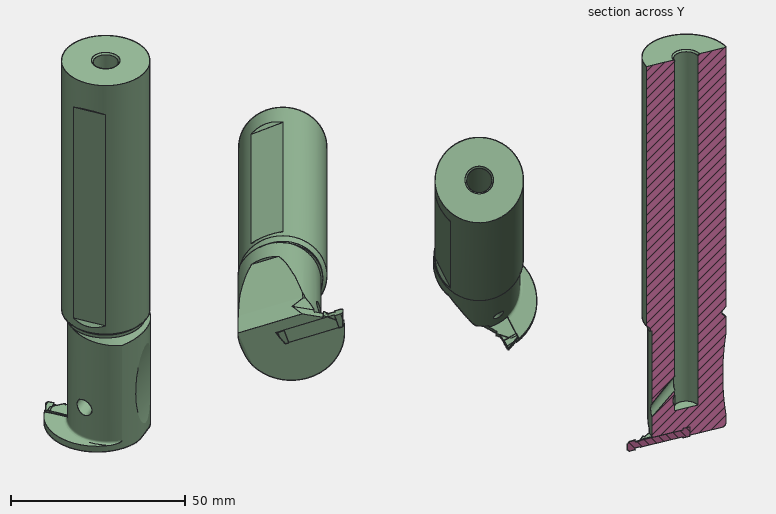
import cadquery as cq
import math


TOTAL_HEIGHT = 127.09
SHANK_RADIUS = 12.7
SHANK_BOTTOM = 40.5
FLAT_WIDTH = 10.0
FLAT_TOP = TOTAL_HEIGHT - 10.2
FLAT_BOTTOM = TOTAL_HEIGHT - 83.7
FLAT_DISTANCE = math.sqrt(SHANK_RADIUS**2 - (FLAT_WIDTH / 2) ** 2)
FLAT_RAMP = SHANK_RADIUS - FLAT_DISTANCE

NECK_RADIUS = 11.5
NECK_BOTTOM = 38.3
NECK_TAPER = SHANK_RADIUS - NECK_RADIUS

HEAD_BOTTOM = 0.45
INNER_CENTER_X = 1.5
INNER_RADIUS = 12.4
OUTER_RADIUS = 15.34
OUTER_CENTER_X = -2.65
OUTER_CORNER_ROUND = 1.2

BLADE_TOP = 2.5
BLADE_FILLET = 0.8
BLOCK_TOP = 3.2
BLOCK_FRONT_Y = -3.9
BLOCK_BACK_Y = 6.0
BLOCK_CORNER_X = -16.5
BLOCK_CORNER_Y = -2.0
SEAT_ANGLE = 45.0

GULLET_X = -13.2
GULLET_Y = 1.3
GULLET_ANGLE = 33.0
GULLET_DEPTH = 0.6
GULLET_UPRIGHT_TOP = 4.4
GULLET_RAMP_TOP = 6.4
GULLET_RAMP_OUT = 1.7
GULLET_TOP = 14.0
GULLET_TOP_OUT = 3.3

INSERT_TILT = 4.4
CHIP_START_Y = 11.6
CHIP_START_Z = 28.5
CHIP_KNEE_Y = 6.9
CHIP_KNEE_Z = 6.7
CHIP_END_Y = 4.7

RELIEF_DEPTH = 1.0
RELIEF_HALF_CHORD = 13.5
RELIEF_CENTER_Z = 18.0

BORE_RADIUS = 3.6
BORE_BOTTOM = 10.0
BORE_CHAMFER = 0.5
FRONT_OUTLET_RADIUS = 2.6
FRONT_OUTLET_X = -1.6
FRONT_OUTLET_Z = 13.3
SIDE_OUTLET_RADIUS = 1.65
SIDE_OUTLET_X = INNER_CENTER_X - INNER_RADIUS
SIDE_OUTLET_Y = -0.8
SIDE_OUTLET_Z = 11.8

TIP_X = SHANK_RADIUS - 31.45
INSERT_LENGTH = 20.4
INSERT_HEAD_LENGTH = 2.6
INSERT_HEAD_HEIGHT = 3.3
INSERT_HEAD_CHAMFER = 0.7
INSERT_DEPTH = 4.2
INSERT_TIP_RELIEF = 1.6
INSERT_BAR_HEIGHT = 2.1
INSERT_SIDE_RELIEF = 3.0

CUT_MARGIN = 20.0


def cylinder(radius, bottom, top, center_x=0.0):
    return cq.Workplane("XY", origin=(center_x, 0, bottom)).circle(radius).extrude(top - bottom)


def make_shank():
    """Round shank with a tapered lower end, a neck and two opposite flats with 45 degree ends."""
    shank = (
        cq.Workplane("XZ")
        .moveTo(0, NECK_BOTTOM)
        .lineTo(NECK_RADIUS, NECK_BOTTOM)
        .lineTo(NECK_RADIUS, SHANK_BOTTOM - NECK_TAPER)
        .lineTo(SHANK_RADIUS, SHANK_BOTTOM)
        .lineTo(SHANK_RADIUS, TOTAL_HEIGHT)
        .lineTo(0, TOTAL_HEIGHT)
        .close()
        .revolve(360, (0, 0, 0), (0, 1, 0))
    )
    flat = (
        cq.Workplane("YZ")
        .moveTo(-FLAT_DISTANCE, FLAT_BOTTOM)
        .lineTo(-FLAT_DISTANCE, FLAT_TOP)
        .lineTo(-SHANK_RADIUS, FLAT_TOP + FLAT_RAMP)
        .lineTo(-SHANK_RADIUS, FLAT_BOTTOM - FLAT_RAMP)
        .close()
        .extrude(FLAT_WIDTH, both=True)
    )
    for turn in (0, 180):
        shank = shank.cut(flat.rotate((0, 0, 0), (0, 0, 1), turn))
    return shank


def make_head():
    """Head column and support blade, inside the outer clearance cylinder."""
    column = cylinder(INNER_RADIUS, HEAD_BOTTOM, NECK_BOTTOM, INNER_CENTER_X)
    blade = cylinder(INNER_RADIUS + OUTER_RADIUS, HEAD_BOTTOM, BLADE_TOP)
    blade_root = cq.selectors.RadiusNthSelector(0)
    head = blade.union(column).faces("<Z[1]").edges(blade_root).fillet(BLADE_FILLET)
    head = head.union(make_insert_block())
    outer = cylinder(OUTER_RADIUS, HEAD_BOTTOM, NECK_BOTTOM, OUTER_CENTER_X)
    top_taper = (
        cq.Workplane("XZ")
        .moveTo(0, 0)
        .lineTo(NECK_RADIUS + NECK_BOTTOM, 0)
        .lineTo(NECK_RADIUS, NECK_BOTTOM)
        .lineTo(0, NECK_BOTTOM)
        .close()
        .revolve(360, (0, 0, 0), (0, 1, 0))
    )
    return head.intersect(outer).intersect(make_corner_outline()).intersect(top_taper)


def make_corner_outline():
    """Slab as wide as the outer cylinder, with its lower +X edge rounded."""
    right_x = OUTER_CENTER_X + OUTER_RADIUS
    height = NECK_BOTTOM - HEAD_BOTTOM
    slab = cq.Workplane("XY").box(2 * OUTER_RADIUS, 2 * OUTER_RADIUS, height)
    slab = slab.edges(">X and <Z").fillet(OUTER_CORNER_ROUND)
    return slab.translate((right_x - OUTER_RADIUS, 0, HEAD_BOTTOM + height / 2))


def make_insert_block():
    """Flat-topped block around the insert."""
    width = BLOCK_BACK_Y - BLOCK_FRONT_Y
    height = BLOCK_TOP - HEAD_BOTTOM
    block = cq.Workplane("XY").box(-BLOCK_CORNER_X, width, height, centered=False)
    return block.translate((BLOCK_CORNER_X, BLOCK_FRONT_Y, HEAD_BOTTOM))


def make_chip_clearance():
    """Everything cut away behind the insert tip so that chips can leave."""
    slope = (
        cq.Workplane("YZ")
        .moveTo(CHIP_START_Y, CHIP_START_Z)
        .lineTo(CHIP_KNEE_Y, CHIP_KNEE_Z)
        .lineTo(CHIP_END_Y, HEAD_BOTTOM)
        .lineTo(CHIP_END_Y, 0)
        .lineTo(CUT_MARGIN, 0)
        .lineTo(CUT_MARGIN, CHIP_START_Z)
        .close()
        .extrude(CUT_MARGIN, both=True)
        .rotate((0, 0, 0), (0, 0, 1), INSERT_TILT)
    )
    return slope.union(make_seat_corner()).union(make_gullet())


def make_seat_corner():
    """Upright 45 degree face that leaves the rake side of the insert tip free."""
    side = 4 * CUT_MARGIN
    corner = cq.Workplane("XY").box(side, CUT_MARGIN, BLOCK_TOP, centered=(True, False, False))
    corner = corner.rotate((0, 0, 0), (0, 0, 1), SEAT_ANGLE)
    return corner.translate((BLOCK_CORNER_X, BLOCK_CORNER_Y, 0))


def make_gullet():
    return (
        cq.Workplane("YZ")
        .moveTo(-GULLET_DEPTH, 0)
        .lineTo(-GULLET_DEPTH, GULLET_UPRIGHT_TOP)
        .lineTo(GULLET_RAMP_OUT, GULLET_RAMP_TOP)
        .lineTo(GULLET_TOP_OUT, GULLET_TOP)
        .lineTo(CUT_MARGIN, GULLET_TOP)
        .lineTo(CUT_MARGIN, 0)
        .close()
        .extrude(CUT_MARGIN)
        .rotate((0, 0, 0), (0, 0, 1), GULLET_ANGLE)
        .translate((GULLET_X, GULLET_Y, 0))
    )


def make_side_relief():
    """Large cylinder across Y that scoops the outer wall of the head."""
    radius = (RELIEF_HALF_CHORD**2 + RELIEF_DEPTH**2) / (2 * RELIEF_DEPTH)
    center_x = OUTER_CENTER_X + OUTER_RADIUS - RELIEF_DEPTH + radius
    return (
        cq.Workplane("XZ", origin=(center_x, 0, RELIEF_CENTER_Z))
        .circle(radius)
        .extrude(CUT_MARGIN, both=True)
    )


def make_coolant_passages():
    bore = cylinder(BORE_RADIUS, BORE_BOTTOM, TOTAL_HEIGHT)
    mouth = (
        cq.Workplane("XY", origin=(0, 0, TOTAL_HEIGHT))
        .circle(BORE_RADIUS + BORE_CHAMFER)
        .workplane(offset=-BORE_CHAMFER)
        .circle(BORE_RADIUS)
        .loft()
    )
    front_outlet = (
        cq.Workplane("XZ", origin=(FRONT_OUTLET_X, 0, FRONT_OUTLET_Z))
        .circle(FRONT_OUTLET_RADIUS)
        .extrude(CUT_MARGIN)
    )
    reach = math.hypot(SIDE_OUTLET_X, SIDE_OUTLET_Y)
    start = cq.Vector(0, 0, SIDE_OUTLET_Z + reach)
    direction = cq.Vector(SIDE_OUTLET_X, SIDE_OUTLET_Y, -reach)
    length = direction.Length + SIDE_OUTLET_RADIUS
    side_outlet = cq.Solid.makeCylinder(SIDE_OUTLET_RADIUS, length, start, direction)
    return bore.union(mouth).union(front_outlet).union(cq.Workplane(side_outlet))


def make_insert_head():
    """Cutting head with its edge at X = 0, rake face at Y = 0 and sides that narrow away from the rake."""
    middle_z = INSERT_HEAD_HEIGHT / 2
    plan = (
        cq.Workplane("XY")
        .lineTo(INSERT_HEAD_LENGTH, 0)
        .lineTo(INSERT_HEAD_LENGTH, -INSERT_DEPTH)
        .lineTo(INSERT_TIP_RELIEF, -INSERT_DEPTH)
        .close()
        .extrude(INSERT_HEAD_HEIGHT)
    )
    half_side = middle_z - INSERT_HEAD_CHAMFER
    profile = (
        cq.Workplane("XZ", origin=(0, 0, middle_z))
        .moveTo(0, -half_side)
        .lineTo(0, half_side)
        .lineTo(INSERT_HEAD_CHAMFER, middle_z)
        .lineTo(2 * INSERT_HEAD_LENGTH, middle_z)
        .lineTo(2 * INSERT_HEAD_LENGTH, -middle_z)
        .lineTo(INSERT_HEAD_CHAMFER, -middle_z)
        .close()
        .extrude(INSERT_DEPTH, taper=INSERT_SIDE_RELIEF)
    )
    return plan.intersect(profile)


def make_insert():
    """Double-ended insert: a bar with a cutting head at each end, tilted about its tip."""
    bar_length = INSERT_LENGTH - INSERT_HEAD_LENGTH
    bar = cq.Workplane("XY").box(bar_length, INSERT_DEPTH, INSERT_BAR_HEIGHT)
    bar = bar.translate((INSERT_LENGTH / 2, -INSERT_DEPTH / 2, INSERT_HEAD_HEIGHT / 2))
    head = make_insert_head()
    far_head = head.mirror("YZ").translate((INSERT_LENGTH, 0, 0))
    insert = bar.union(head).union(far_head)
    return insert.rotate((0, 0, 0), (0, 0, 1), INSERT_TILT).translate((TIP_X, 0, 0))


insert = make_insert()
holder = make_shank().union(make_head())
holder = holder.cut(make_chip_clearance()).cut(make_side_relief())
holder = holder.cut(make_coolant_passages()).cut(insert)

result = cq.Compound.makeCompound([holder.val(), insert.val()])